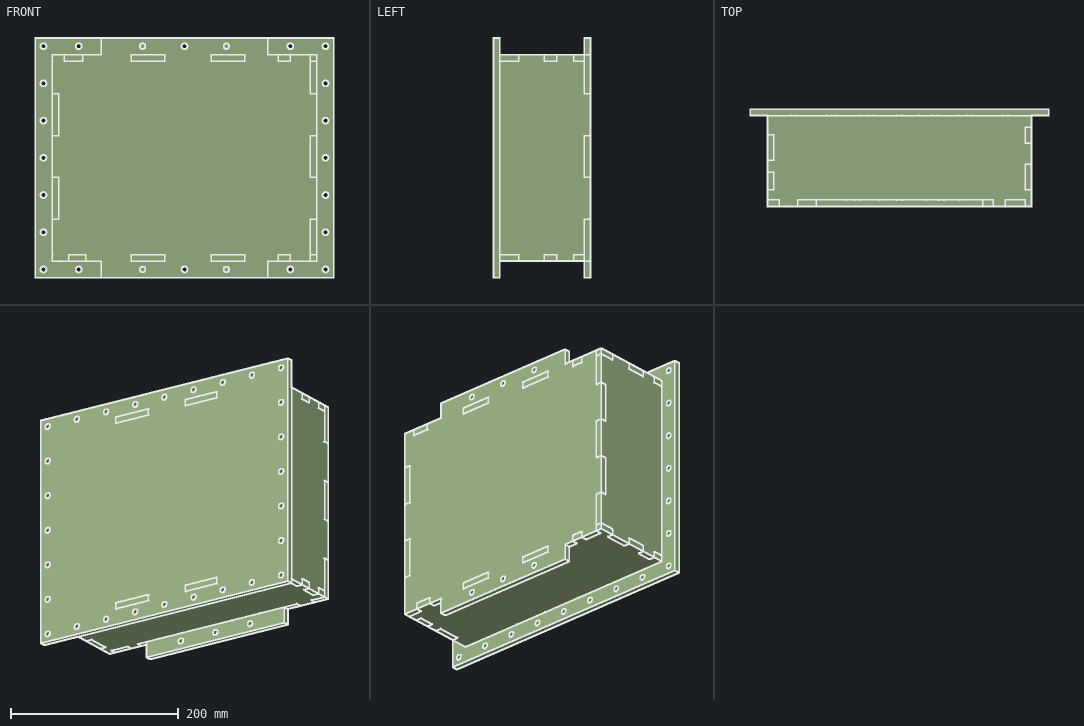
import cadquery as cq


PLATE_WIDTH = 356.0
PLATE_HEIGHT = 286.0
TOTAL_DEPTH = 116.0
SHEET = 8.0
SIDE_RIM = 20.5
END_RIM = 20.0
FLANGE_WIDTH = 198.5

HOLE_DIAMETER = 6.8
HOLE_EDGE = 10.0
BACK_COLUMNS = 9
BACK_ROWS = 7
FRONT_COLUMNS = 3
FRONT_HOLE_PITCH = 50.0

BOX_WIDTH = PLATE_WIDTH - 2 * SIDE_RIM
BOX_HEIGHT = PLATE_HEIGHT - 2 * END_RIM
BOX_DEPTH = TOTAL_DEPTH - SHEET
WALL_DEPTH = BOX_DEPTH - SHEET
LEFT = -BOX_WIDTH / 2
RIGHT = BOX_WIDTH / 2
BOTTOM = -BOX_HEIGHT / 2
TOP = BOX_HEIGHT / 2

TOP_LAYER = (TOP - SHEET, TOP)
BOTTOM_LAYER = (BOTTOM, BOTTOM + SHEET)
LEFT_LAYER = (LEFT, LEFT + SHEET)
RIGHT_LAYER = (RIGHT - SHEET, RIGHT)
FRONT_LAYER = (WALL_DEPTH, BOX_DEPTH)
BACK_LAYER = (-SHEET, 0)

HOLE_X = PLATE_WIDTH / 2 - HOLE_EDGE
HOLE_Z = PLATE_HEIGHT / 2 - HOLE_EDGE

SLOT_SPANS = [(93.5, 134.0), (189.5, 229.3)]
RIGHT_NOTCH_SPAN = (268.8, 283.5)
CORNER_SPAN = (BOX_WIDTH - SHEET, BOX_WIDTH)
SHARED_SPANS = SLOT_SPANS + [RIGHT_NOTCH_SPAN, CORNER_SPAN]
TOP_FRONT_SPANS = [(14.2, 36.3)] + SHARED_SPANS
BOTTOM_FRONT_SPANS = [(19.2, 40.0)] + SHARED_SPANS

BACK_SPANS = [(81.5, 127.0), (180.5, 227.5)]

SIDE_PITCH = 50.0
LEFT_FRONT_SPANS = [(SIDE_PITCH, 2 * SIDE_PITCH), (3 * SIDE_PITCH, 4 * SIDE_PITCH)]
RIGHT_FRONT_SPANS = [
    (SHEET, SIDE_PITCH),
    (2 * SIDE_PITCH, 3 * SIDE_PITCH),
    (4 * SIDE_PITCH, BOX_HEIGHT - SHEET),
]

LEFT_EDGE_SPANS = [(22.8, 53.0), (67.5, 88.0)]
RIGHT_EDGE_SPANS = [(13.5, 33.0), (58.0, 88.0)]


def block(x_span, depth_span, z_span):
    """Box between two X values, two depths in front of the back plate and two Z values."""
    x0, x1 = x_span
    d0, d1 = depth_span
    z0, z1 = z_span
    return cq.Workplane("XY").box(x1 - x0, d1 - d0, z1 - z0, centered=False).translate((x0, -d1, z0))


def joined(base, pieces):
    """The base with all the pieces added."""
    for piece in pieces:
        base = base.union(piece)
    return base


def carved(base, pieces):
    """The base with all the pieces cut away."""
    for piece in pieces:
        base = base.cut(piece)
    return base


def spaced(half_length, count):
    """Evenly spaced positions from -half_length to +half_length."""
    pitch = 2 * half_length / (count - 1)
    return [-half_length + i * pitch for i in range(count)]


def drilled(plate, points):
    """The plate with a through hole along Y at each (x, z) point."""
    drills = (
        cq.Workplane("XZ", origin=(0, SHEET, 0))
        .pushPoints(points)
        .circle(HOLE_DIAMETER / 2)
        .extrude(TOTAL_DEPTH)
    )
    return plate.cut(drills)


def fingers_across(spans, plate_layer, z_span):
    """Fingers of a top or bottom wall that reach through the front or back plate."""
    return [block((LEFT + a, LEFT + b), plate_layer, z_span) for a, b in spans]


def fingers_upright(spans, x_span):
    """Fingers of a side wall that reach through the front plate."""
    return [block(x_span, FRONT_LAYER, (BOTTOM + a, BOTTOM + b)) for a, b in spans]


def edge_fingers(spans, x_span):
    """Fingers of a side wall that reach through the top and bottom walls."""
    return [block(x_span, span, z_span) for z_span in (TOP_LAYER, BOTTOM_LAYER) for span in spans]


top_front = fingers_across(TOP_FRONT_SPANS, FRONT_LAYER, TOP_LAYER)
bottom_front = fingers_across(BOTTOM_FRONT_SPANS, FRONT_LAYER, BOTTOM_LAYER)
top_back = fingers_across(BACK_SPANS, BACK_LAYER, TOP_LAYER)
bottom_back = fingers_across(BACK_SPANS, BACK_LAYER, BOTTOM_LAYER)
left_front = fingers_upright(LEFT_FRONT_SPANS, LEFT_LAYER)
right_front = fingers_upright(RIGHT_FRONT_SPANS, RIGHT_LAYER)
left_edge = edge_fingers(LEFT_EDGE_SPANS, LEFT_LAYER)
right_edge = edge_fingers(RIGHT_EDGE_SPANS, RIGHT_LAYER)


def make_back_plate():
    """Plate with a ring of holes around its rim, slotted for the top and bottom walls."""
    plate = block(
        (-PLATE_WIDTH / 2, PLATE_WIDTH / 2),
        BACK_LAYER,
        (-PLATE_HEIGHT / 2, PLATE_HEIGHT / 2),
    )
    rows = [(x, z) for x in spaced(HOLE_X, BACK_COLUMNS) for z in (-HOLE_Z, HOLE_Z)]
    columns = [(x, z) for x in (-HOLE_X, HOLE_X) for z in spaced(HOLE_Z, BACK_ROWS)[1:-1]]
    return drilled(carved(plate, top_back + bottom_back), rows + columns)


def make_front_plate():
    """Plate with an upper and a lower flange, slotted and notched for the wall fingers."""
    panel = block((LEFT, RIGHT), FRONT_LAYER, (BOTTOM, TOP))
    flanges = block(
        (-FLANGE_WIDTH / 2, FLANGE_WIDTH / 2),
        FRONT_LAYER,
        (-PLATE_HEIGHT / 2, PLATE_HEIGHT / 2),
    )
    plate = carved(panel.union(flanges), top_front + bottom_front + left_front + right_front)
    half_row = FRONT_HOLE_PITCH * (FRONT_COLUMNS - 1) / 2
    return drilled(plate, [(x, z) for x in spaced(half_row, FRONT_COLUMNS) for z in (-HOLE_Z, HOLE_Z)])


def make_flat_wall(z_span, fingers):
    """Top or bottom wall: full box width, notched for the side walls' fingers."""
    sheet = block((LEFT, RIGHT), (0, WALL_DEPTH), z_span)
    return joined(carved(sheet, left_edge + right_edge), fingers)


def make_side_wall(x_span, fingers):
    """Left or right wall: stands between the top and bottom walls, with fingers on three edges."""
    sheet = block(x_span, (0, WALL_DEPTH), (BOTTOM + SHEET, TOP - SHEET))
    return joined(sheet, fingers)


back_plate = make_back_plate()
front_plate = make_front_plate()
top_wall = make_flat_wall(TOP_LAYER, top_front + top_back)
bottom_wall = make_flat_wall(BOTTOM_LAYER, bottom_front + bottom_back)
left_wall = make_side_wall(LEFT_LAYER, left_front + left_edge)
right_wall = make_side_wall(RIGHT_LAYER, right_front + right_edge)

result = cq.Compound.makeCompound([
    back_plate.val(),
    front_plate.val(),
    top_wall.val(),
    bottom_wall.val(),
    left_wall.val(),
    right_wall.val(),
])